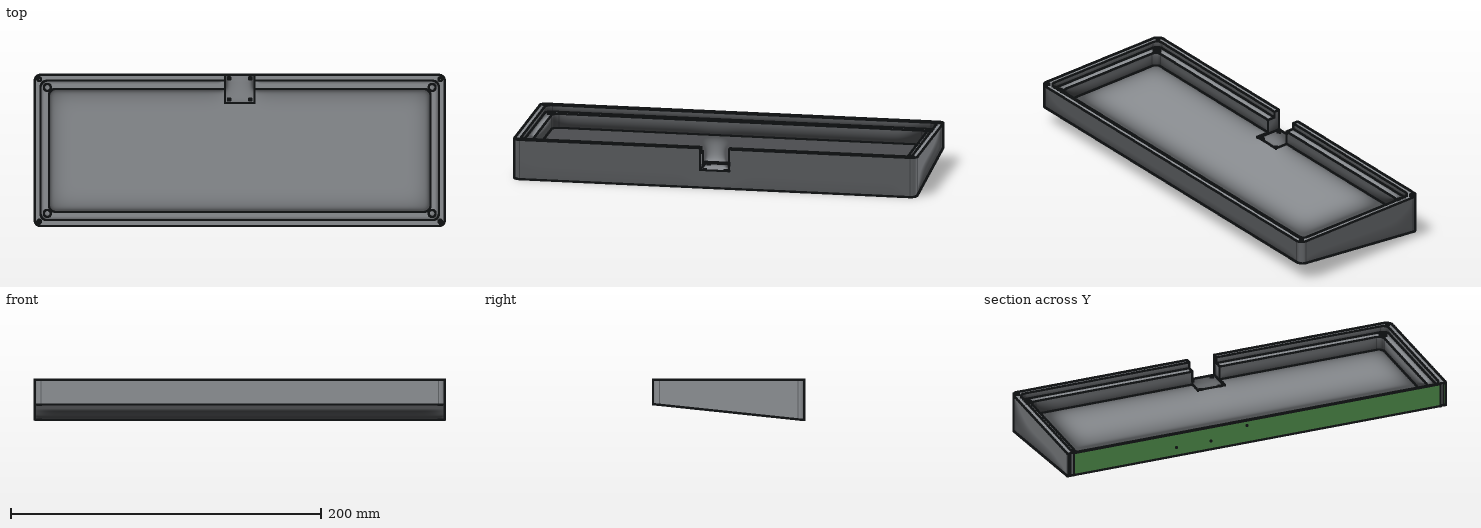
import cadquery as cq
import math

length = 264.3
width = 97.6
rear_height = 26.12
underside_angle = 6.0
front_height = rear_height - width * math.tan(math.radians(underside_angle))
outer_corner_radius = 4.2

rim_width = 3.85
ledge_depth = 4.15
upper_corner_radius = 4.2

ledge_width = 5.4
floor_depth = 13.4
lower_corner_radius = 4.0

rim_hole_diameter = 2.0
rim_hole_inset = 3.0
ledge_recess_diameter = 4.5
ledge_recess_inset = 8.2
ledge_recess_depth = 1.0

bay_width = 19.0
bay_length = 18.2
bay_depth = 14.4
bay_hole_diameter = 1.6
bay_hole_spacing = 13.6
bay_hole_rear_inset = 2.4
bay_hole_depth = 1.5


def rounded_block(size_x, size_y, depth, radius):
    """Block with rounded upright edges, hanging down from the top plane."""
    return cq.Workplane("XY").rect(size_x, size_y).extrude(-depth).edges("|Z").fillet(radius)


def corner_cylinders(inset, diameter, top_z, depth):
    """Four upright cylinders set in from the outer corners by the same inset."""
    return (
        cq.Workplane("XY", origin=(0, 0, top_z))
        .rect(length - 2 * inset, width - 2 * inset, forConstruction=True)
        .vertices()
        .circle(diameter / 2)
        .extrude(-depth)
    )


def wedge_body():
    side_profile = [
        (-width / 2, 0),
        (width / 2, 0),
        (width / 2, -rear_height),
        (-width / 2, -front_height),
    ]
    wedge = cq.Workplane("YZ").polyline(side_profile).close().extrude(length / 2, both=True)
    return wedge.intersect(rounded_block(length, width, rear_height, outer_corner_radius))


def stepped_pocket():
    upper_x = length - 2 * rim_width
    upper_y = width - 2 * rim_width
    upper = rounded_block(upper_x, upper_y, ledge_depth, upper_corner_radius)
    lower = rounded_block(
        upper_x - 2 * ledge_width, upper_y - 2 * ledge_width, floor_depth, lower_corner_radius
    )
    return upper.union(lower)


def connector_bay():
    rear_y = width / 2
    opening = (
        cq.Workplane("XY")
        .center(0, rear_y - bay_length / 2)
        .rect(bay_width, bay_length)
        .extrude(-bay_depth)
    )
    holes = (
        cq.Workplane("XY", origin=(0, 0, -bay_depth))
        .center(0, rear_y - bay_hole_rear_inset - bay_hole_spacing / 2)
        .rect(bay_hole_spacing, bay_hole_spacing, forConstruction=True)
        .vertices()
        .circle(bay_hole_diameter / 2)
        .extrude(-bay_hole_depth)
    )
    return opening.union(holes)


result = (
    wedge_body()
    .cut(stepped_pocket())
    .cut(connector_bay())
    .cut(corner_cylinders(rim_hole_inset, rim_hole_diameter, 0, rear_height))
    .cut(corner_cylinders(ledge_recess_inset, ledge_recess_diameter, -ledge_depth, ledge_recess_depth))
)